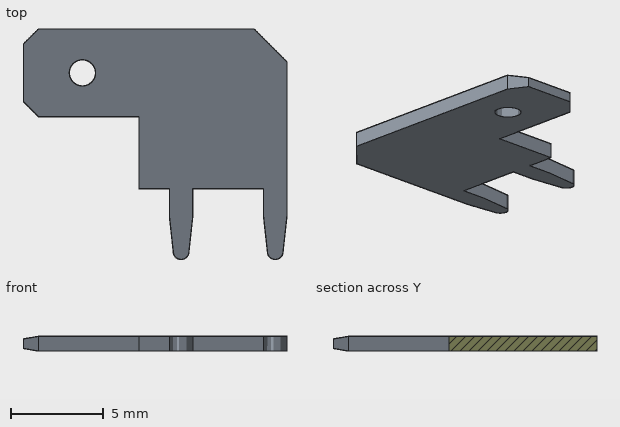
import cadquery as cq


length = 14.22
height = 12.45
thickness = 0.81
corner_chamfer = 1.78

tab_width = 4.75
tab_length = 6.23
nose_length = 0.81
nose_tip_thickness = 0.53
hole_diameter = 1.4
hole_from_tip = 3.18

leg_length = 3.81
leg_width = 1.27
leg_pitch = 5.08
leg_straight_length = 1.5
leg_tip_radius = 0.43

body_bottom = leg_length - height
outer_leg_x = length - leg_width / 2
leg_centers = [outer_leg_x - leg_pitch, outer_leg_x]


def make_plate():
    """L-shaped plate with a pointed tab and one chamfered outer corner."""
    outline = [
        (0, -nose_length),
        (nose_length, 0),
        (length - corner_chamfer, 0),
        (length, -corner_chamfer),
        (length, body_bottom),
        (tab_length, body_bottom),
        (tab_length, -tab_width),
        (nose_length, -tab_width),
        (0, -tab_width + nose_length),
    ]
    return cq.Workplane("XY").polyline(outline).close().extrude(thickness)


def make_leg(center_x):
    """Solder leg: straight root, tapered sides and a round tip."""
    half_width = leg_width / 2
    taper_start = body_bottom - leg_straight_length
    tip_bottom = body_bottom - leg_length
    tip_center = tip_bottom + leg_tip_radius
    root = body_bottom + half_width
    return (
        cq.Workplane("XY")
        .moveTo(center_x - half_width, root)
        .lineTo(center_x - half_width, taper_start)
        .lineTo(center_x - leg_tip_radius, tip_center)
        .threePointArc((center_x, tip_bottom), (center_x + leg_tip_radius, tip_center))
        .lineTo(center_x + half_width, taper_start)
        .lineTo(center_x + half_width, root)
        .close()
        .extrude(thickness)
    )


def taper_nose(part):
    """Thin the tab tip evenly from the upper and lower faces."""
    tip_step = (thickness - nose_tip_thickness) / 2
    for face_z, tip_z in [(0, tip_step), (thickness, thickness - tip_step)]:
        wedge = (
            cq.Workplane("XZ")
            .polyline([(0, face_z), (nose_length, face_z), (0, tip_z)])
            .close()
            .extrude(tab_width)
        )
        part = part.cut(wedge)
    return part


def drill_tab_hole(part):
    """Through hole on the tab centreline."""
    hole = (
        cq.Workplane("XY")
        .center(hole_from_tip, -tab_width / 2)
        .circle(hole_diameter / 2)
        .extrude(thickness)
    )
    return part.cut(hole)


result = make_plate()
for leg_x in leg_centers:
    result = result.union(make_leg(leg_x))
result = drill_tab_hole(taper_nose(result))